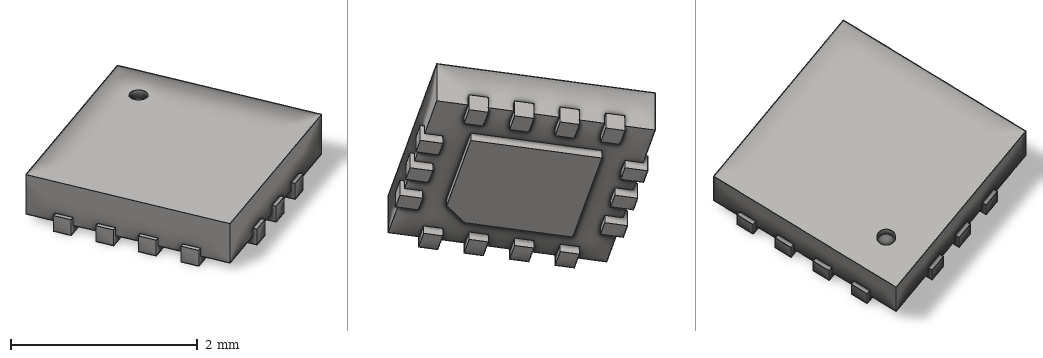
import cadquery as cq

overall_width = 2.5
overall_height = 0.6
lead_protrusion = 0.05
standoff = 0.1
body_width = overall_width - 2 * lead_protrusion

lead_width = 0.21
lead_length = 0.25
lead_height = 2 * standoff
lead_pitch = 0.5
leads_per_x_side = 3
leads_per_y_side = 4

pad_width = 1.44
pad_corner_cut = 0.25

dimple_diameter = 0.2
dimple_depth = 0.1
dimple_x = -0.75
dimple_y = 0.75


def box_on_base(length, width, height, x=0, y=0, z=0):
    """Box centred on (x, y) with its underside at z."""
    return cq.Workplane("XY").box(length, width, height, centered=(True, True, False)).translate((x, y, z))


def row_positions(count):
    """Evenly pitched positions centred on zero."""
    return [(i - (count - 1) / 2) * lead_pitch for i in range(count)]


def make_body():
    body = box_on_base(body_width, body_width, overall_height - standoff, z=standoff)
    dimple = (
        cq.Workplane("XY", origin=(dimple_x, dimple_y, overall_height - dimple_depth))
        .circle(dimple_diameter / 2)
        .extrude(dimple_depth)
    )
    return body.cut(dimple)


def make_thermal_pad():
    pad = box_on_base(pad_width, pad_width, standoff)
    return pad.edges("|Z").edges("<X").edges(">Y").chamfer(pad_corner_cut)


result = make_body().union(make_thermal_pad())

lead_offset = (overall_width - lead_length) / 2
for side in (-1, 1):
    for y in row_positions(leads_per_x_side):
        result = result.union(box_on_base(lead_length, lead_width, lead_height, side * lead_offset, y))
    for x in row_positions(leads_per_y_side):
        result = result.union(box_on_base(lead_width, lead_length, lead_height, x, side * lead_offset))